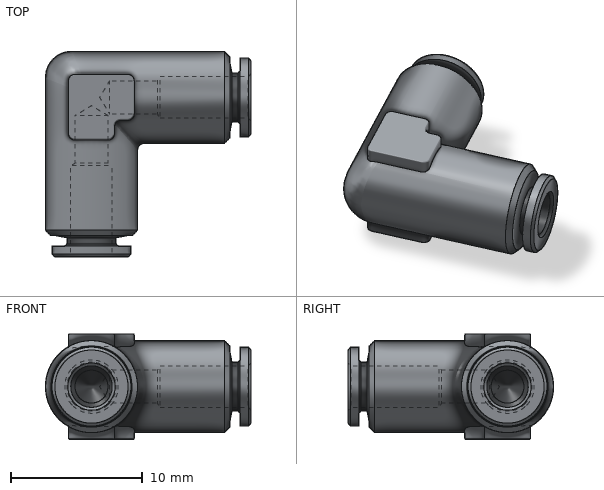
import cadquery as cq
import math


overall_size = 15.6
overall_height = 8.0
body_radius = 3.5
body_end = 10.5
body_chamfer = 0.42
outer_corner_fillet = 2.0
inner_corner_fillet = 0.5

end_cone_radius = 2.7
neck_start = 10.65
neck_radius = 1.85
collar_start = 11.28
collar_radius = 3.0
collar_root_chamfer = 0.17
collar_rim_width = 0.22
collar_rim_length = 0.2
port_end = overall_size - body_radius

tube_bore_radius = 1.58
mouth_chamfer = 0.22
tube_stop = 4.99
passage_radius = 1.25
tip_distance = 0.62
drill_half_angle = math.radians(59)

pad_near = 1.75
pad_far = 3.25
pad_corner_radius = 0.5
pad_top_fillet = 0.11


def other_port(shape):
    """Turn a shape on the +X port axis onto the -Y port axis."""
    return shape.rotate((0, 0, 0), (1, -1, 0), 180)


def revolve_about_x(profile):
    """Revolve a closed (distance along X, radius) profile about the X axis."""
    return (
        cq.Workplane("XZ")
        .polyline(profile)
        .close()
        .revolve(360, (0, 0, 0), (1, 0, 0))
    )


def make_body():
    """Two equal chamfered cylinders joined on the mitre plane x + y = 0."""
    reach = 2 * overall_size
    mitre_side = (
        cq.Workplane("XY")
        .polyline([(-reach, reach), (reach, reach), (reach, -reach)])
        .close()
        .extrude(overall_height, both=True)
    )
    tube = revolve_about_x([
        (-overall_size, 0),
        (-overall_size, body_radius),
        (body_end - body_chamfer, body_radius),
        (body_end, body_radius - body_chamfer),
        (body_end, 0),
    ]).intersect(mitre_side)
    return tube.union(other_port(tube))


def make_pads():
    """L-shaped block through the elbow, forming the top and bottom pads."""
    block = (
        cq.Workplane("XY")
        .polyline([
            (-pad_near, pad_near),
            (pad_far, pad_near),
            (pad_far, -pad_near),
            (pad_near, -pad_near),
            (pad_near, -pad_far),
            (-pad_near, -pad_far),
        ])
        .close()
        .extrude(overall_height / 2, both=True)
    )
    block = block.edges("|Z").fillet(pad_corner_radius)
    return block.faces("<Z or >Z").edges().fillet(pad_top_fillet)


def fillet_mitre(elbow):
    """Round the outer and inner edges where the two tubes meet."""
    size = body_radius + 0.15
    band = pad_near / 2
    outer_edge = cq.selectors.BoxSelector((-size, pad_near, -band), (-pad_near, size, band))
    inner_edge = cq.selectors.BoxSelector((pad_near, -size, -band), (size, -pad_near, band))
    elbow = elbow.edges(outer_edge).fillet(outer_corner_fillet)
    return elbow.edges(inner_edge).fillet(inner_corner_fillet)


def make_collar():
    """Shallow end cone, neck and release collar of the +X port."""
    return revolve_about_x([
        (body_end - body_chamfer, 0),
        (body_end - body_chamfer, end_cone_radius),
        (body_end, end_cone_radius),
        (neck_start, neck_radius),
        (collar_start - collar_root_chamfer, neck_radius),
        (collar_start, neck_radius + collar_root_chamfer),
        (collar_start, collar_radius),
        (port_end - collar_rim_length, collar_radius),
        (port_end, collar_radius - collar_rim_width),
        (port_end, 0),
    ])


def make_bore():
    """Tube bore, conical tube stop and pointed passage of the +X port."""
    slope = 1 / math.tan(drill_half_angle)
    tip_length = passage_radius * slope
    stop_length = (tube_bore_radius - passage_radius) * slope
    return revolve_about_x([
        (tip_distance, 0),
        (tip_distance + tip_length, passage_radius),
        (tube_stop, passage_radius),
        (tube_stop + stop_length, tube_bore_radius),
        (port_end - mouth_chamfer, tube_bore_radius),
        (port_end, tube_bore_radius + mouth_chamfer),
        (port_end, 0),
    ])


elbow = fillet_mitre(make_body().union(make_pads()))

collar = make_collar()
bore = make_bore()
for end, hole in ((collar, bore), (other_port(collar), other_port(bore))):
    elbow = elbow.union(end).cut(hole)

result = cq.Workplane("XY").newObject([elbow.solids().val()])